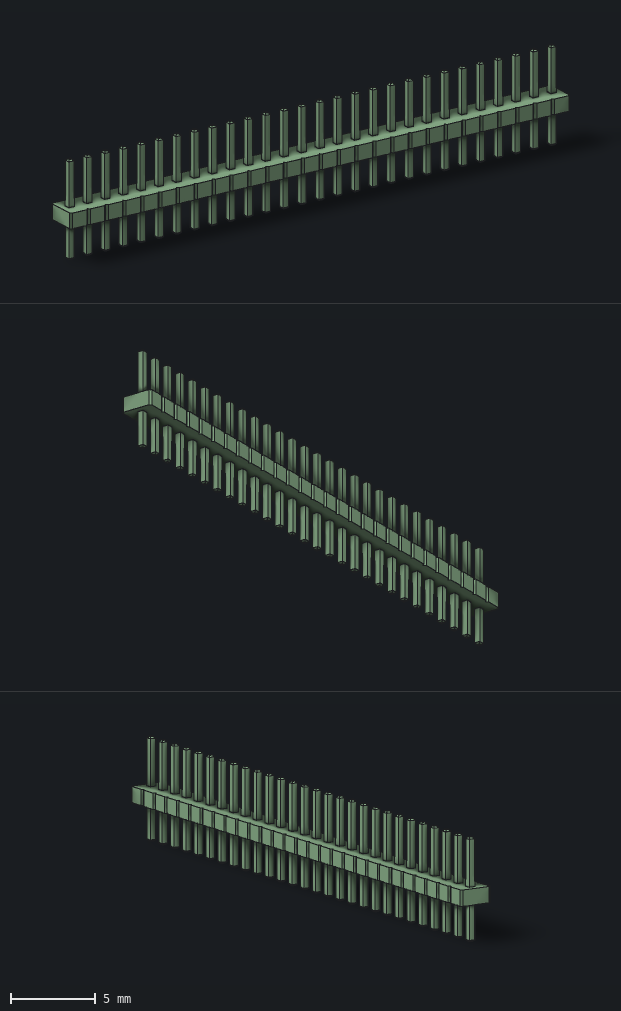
import cadquery as cq

pin_count = 28
strip_length = 35.55
strip_width = 2.1
strip_height = 1.0
pitch = strip_length / pin_count
cell_chamfer = 0.128

pin_width = 0.4
pin_above = 3.0
pin_below = 2.3
pin_length = pin_below + strip_height + pin_above
tip_chamfer = 0.1


def strip_outline():
    """Points around the strip, with each cell's four corners cut at 45 degrees."""
    half_width = strip_width / 2
    inset = half_width - cell_chamfer
    right_side = []
    for index in range(pin_count):
        start = index * pitch - strip_length / 2
        end = start + pitch
        right_side += [
            (inset, start),
            (half_width, start + cell_chamfer),
            (half_width, end - cell_chamfer),
        ]
    right_side.append((inset, strip_length / 2))
    left_side = [(-x, y) for x, y in reversed(right_side)]
    return right_side + left_side


def make_strip():
    """Plastic strip standing on Z = 0, with a V notch on both sides between cells."""
    return cq.Workplane("XY").polyline(strip_outline()).close().extrude(strip_height)


def make_pins():
    """Row of square pins, one at the centre of each cell, chamfered at both tips."""
    return (
        cq.Workplane("XY", origin=(0, 0, -pin_below))
        .rarray(pitch, pitch, 1, pin_count)
        .rect(pin_width, pin_width)
        .extrude(pin_length)
        .faces("<Z or >Z")
        .chamfer(tip_chamfer)
    )


result = make_strip().union(make_pins())